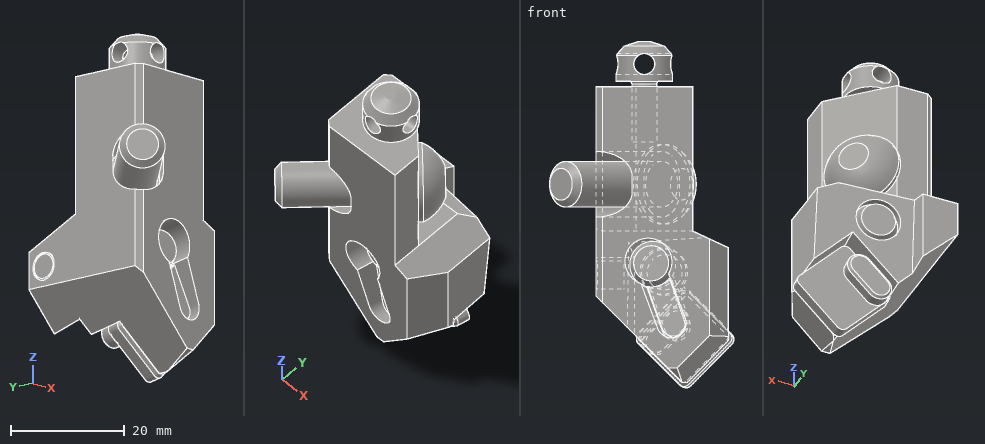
import cadquery as cq
import math


shank_half_x = 8.5
shank_half_y = 7.95
edge_bevel_x = 1.15
edge_bevel_y = 1.0
foot_right = 14.8
foot_back = 17.95
arm_back_x = -1.75
arm_root = (-2.75, 12.35)
front_bevel_x = 11.45
front_bevel_y = -1.05
ledge_z = -25.35
ledge_angle = 25.0
foot_bottom = -54.75
reach = 36.5

lower_left_z = -36.75
nose_top_z = -49.4
nose_bottom_z = -51.95
nose_corner_y = -1.1
nose_right_x = 5.8
flank_relief = 0.5

seat_slope_x = -0.15
seat_slope_z = 0.1
seat_normal = cq.Vector(-seat_slope_x, 1, -seat_slope_z)

insert_centre = (7.35, 4.7, -44.45)
insert_side = 12.7
insert_thickness = 3.15
insert_corner_radius = 1.2
insert_bevel = 0.6

bar_width = 4.6
bar_length = 9.75
bar_thickness = 2.85
bar_chamfer = 0.5
bar_overhang = 0.05

screw_x = 0.7
screw_z = -30.7
screw_radius = 4.1
screw_tip_radius = 3.1
screw_tip_length = 1.95
screw_recess = 3.15
screw_length = 16.05

slot_end_x = 4.75
slot_end_z = -41.55
slot_radius = 2.55
slot_depth = 7.3
lever_recess = 3.95
lever_radius = 2.05

bolt_z = -17.15
bolt_side_shift = 0.3
bolt_radius = 4.0
bolt_tip = 20.4
bolt_tip_radius = 2.8
bolt_tip_length = 1.15
bolt_seat = 4.6
bolt_slot_width = 8.9
bolt_slot_length = 11.5
bolt_head_radius = 7.0
bolt_rim_height = 0.9
bolt_dome_radius = 7.65
bolt_head_height = 4.9

head_radius = 5.0
head_bottom = 0.9
head_shoulder = 5.5
head_cone_top = 7.1
head_cone_radius = 3.5
head_top = 7.9
head_top_radius = 1.05
bar_hole_radius = 1.8
bar_hole_z = 3.95
neck_radius = 2.45
neck_step_z = 0.5
adjuster_radius = 2.2
adjuster_depth = 9.75

dowel_y = 14.5
dowel_z = -33.1
dowel_radius = 2.5
dowel_length = 5.0
dowel_chamfer = 0.3


def plane_through(origin, x_dir, normal):
    return cq.Workplane(cq.Plane(origin=origin, xDir=x_dir, normal=normal))


def seat_plane(origin, depth=0.0):
    """Workplane parallel to the insert seat, moved by depth along its normal (towards +Y).

    Its local X runs down to the right along the lower left edge of the insert,
    and its local Y points down to the left.
    """
    start = cq.Vector(*origin) + seat_normal.normalized() * depth
    down_right = cq.Vector(1, seat_slope_x - seat_slope_z, -1)
    return plane_through(start, down_right, seat_normal)



screw_mouth = (screw_x, -shank_half_y, screw_z)
slot_end = (slot_end_x, -shank_half_y, slot_end_z)


def slot_block(radius, start_depth, end_depth):
    """Round-ended block from the clamp screw's axis to the slot's end, between two depths."""
    span = cq.Vector(*slot_end) - cq.Vector(*screw_mouth)
    along = span - seat_normal * (span.dot(seat_normal) / seat_normal.dot(seat_normal))
    start = cq.Vector(*screw_mouth) + seat_normal.normalized() * start_depth
    plane = plane_through(start, along, seat_normal)
    length = along.Length
    return (
        plane.center(length / 2, 0)
        .slot2D(length + 2 * radius, 2 * radius)
        .extrude(end_depth - start_depth)
    )


def bolt_origin():
    shift = bolt_side_shift / math.sqrt(2)
    return (-shift, shift, bolt_z)



def foot_profile():
    return (
        cq.Workplane("XY", origin=(0, 0, foot_bottom))
        .polyline([
            (-shank_half_x, foot_back),
            (arm_back_x, foot_back),
            arm_root,
            (foot_right, arm_root[1]),
            (foot_right, front_bevel_y),
            (front_bevel_x, -shank_half_y),
            (edge_bevel_x - shank_half_x, -shank_half_y),
            (-shank_half_x, edge_bevel_y - shank_half_y),
        ])
        .close()
        .extrude(-foot_bottom)
    )


def above_ledge(plane_name, start):
    """Space outside the shank and above a ledge that falls away from the given distance."""
    fall = reach * math.tan(math.radians(ledge_angle))
    return (
        cq.Workplane(plane_name)
        .polyline([(start, 0), (start, ledge_z), (start + reach, ledge_z - fall), (start + reach, 0)])
        .close()
        .extrude(reach, both=True)
    )


def cut_ledges(body):
    return body.cut(above_ledge("XZ", shank_half_x)).cut(above_ledge("YZ", shank_half_y))


def cut_back_bevel(body):
    """Bevel on the shank's back left edge, ending on the extended ledge."""
    inner_y = shank_half_y - edge_bevel_y
    ledge_rise = edge_bevel_y * math.tan(math.radians(ledge_angle))
    prism = (
        cq.Workplane("XY")
        .polyline([
            (-shank_half_x, inner_y),
            (edge_bevel_x - shank_half_x, shank_half_y),
            (-shank_half_x, shank_half_y),
        ])
        .close()
        .extrude(foot_bottom)
    )
    return body.cut(prism.intersect(above_ledge("YZ", inner_y).translate((0, 0, ledge_rise))))


def cut_back_face(body):
    """Sloping back face of the foot, parallel to the insert seat."""
    ledge_at_root = ledge_z - (arm_root[1] - shank_half_y) * math.tan(math.radians(ledge_angle))
    root = cq.Vector(*arm_root, ledge_at_root)
    back_plane = plane_through(root, (0, seat_slope_z, 1), seat_normal)
    behind = back_plane.rect(4 * reach, 4 * reach).extrude(reach)
    wall_slope = (arm_back_x - arm_root[0]) / (foot_back - arm_root[1])
    right_of_arm = (
        cq.Workplane("XY", origin=(0, 0, foot_bottom))
        .polyline([
            (arm_root[0] - wall_slope * arm_root[1], 0),
            (arm_root[0] + wall_slope * (reach - arm_root[1]), reach),
            (reach, reach),
            (reach, 0),
        ])
        .close()
        .extrude(-foot_bottom)
    )
    return body.cut(behind.intersect(right_of_arm))


def cut_lower_end(body):
    """Lower left slope, nose bevel and relieved flank below the insert."""
    lower_left = (
        cq.Workplane("XZ")
        .polyline([
            (-shank_half_x, lower_left_z),
            (reach - shank_half_x, lower_left_z - reach),
            (-shank_half_x, lower_left_z - reach),
        ])
        .close()
        .extrude(reach, both=True)
    )
    nose = (
        cq.Workplane("YZ")
        .polyline([
            (-shank_half_y, nose_top_z),
            (nose_corner_y, nose_bottom_z),
            (reach, nose_bottom_z),
            (reach, foot_bottom),
            (-shank_half_y, foot_bottom),
        ])
        .close()
        .extrude(reach, both=True)
    )
    flank_start = (nose_right_x, -shank_half_y, nose_top_z)
    flank_plane = plane_through(flank_start, (1, 0, 1), (1, -flank_relief, -1))
    flank = flank_plane.rect(4 * reach, 4 * reach).extrude(reach)
    return body.cut(lower_left).cut(nose).cut(flank)


def cut_insert_pocket(body):
    """Square-cornered pocket, open to the back, the right and the lower left."""
    half = insert_side / 2
    pocket = (
        seat_plane(insert_centre, -insert_thickness)
        .rect(reach, reach)
        .extrude(reach)
    )
    plane = seat_plane(insert_centre).plane
    shift = (plane.xDir + plane.yDir) * (reach / 2 - half)
    return body.cut(pocket.translate(shift))


def cut_bolt_seat(body):
    """Flat across the shank's back right corner and the long slot around the bolt."""
    edge = bolt_seat * math.sqrt(2)
    corner = (
        cq.Workplane("XY")
        .polyline([
            (edge - shank_half_y, shank_half_y),
            (shank_half_x, shank_half_y),
            (shank_half_x, edge - shank_half_x),
        ])
        .close()
        .extrude(ledge_z)
    )
    slot = (
        plane_through(bolt_origin(), (0, 0, 1), (1, 1, 0))
        .slot2D(bolt_slot_length, bolt_slot_width)
        .extrude(reach, both=True)
    )
    return body.cut(corner).cut(slot)


def screw_hole():
    return seat_plane(screw_mouth, -reach / 2).circle(screw_radius).extrude(2 * reach)


def dowel_hole():
    return (
        cq.Workplane("YZ", origin=(-shank_half_x, dowel_y, dowel_z))
        .circle(dowel_radius)
        .extrude(dowel_length)
    )


def adjuster_hole():
    return cq.Workplane("XY").circle(adjuster_radius).extrude(-adjuster_depth)


def make_housing():
    body = cut_ledges(foot_profile())
    body = cut_back_bevel(body)
    body = cut_back_face(body)
    body = cut_lower_end(body)
    body = cut_insert_pocket(body)
    body = cut_bolt_seat(body)
    body = body.cut(screw_hole())
    body = body.cut(slot_block(slot_radius, -slot_radius, slot_depth))
    return body.cut(dowel_hole()).cut(adjuster_hole())



def make_adjuster():
    """Round-headed adjusting screw with two crossed bar holes."""
    body = (
        cq.Workplane("XZ")
        .polyline([
            (0, -adjuster_depth),
            (adjuster_radius, -adjuster_depth),
            (adjuster_radius, neck_step_z),
            (neck_radius, head_bottom),
            (head_radius, head_bottom),
            (head_radius, head_shoulder),
            (head_cone_radius, head_cone_top),
            (head_top_radius, head_top),
            (0, head_top),
        ])
        .close()
        .revolve(360, (0, 0), (0, 1))
    )
    for side in ("XZ", "YZ"):
        body = body.cut(
            cq.Workplane(side).center(0, bar_hole_z).circle(bar_hole_radius).extrude(head_radius, both=True)
        )
    return body


def make_bolt():
    """Diagonal bolt: a bevelled shaft and a flat-topped domed head resting on the corner flat."""
    rim = bolt_seat + bolt_rim_height
    top = bolt_seat + bolt_head_height
    dome_centre = rim - math.sqrt(bolt_dome_radius**2 - bolt_head_radius**2)
    top_radius = math.sqrt(bolt_dome_radius**2 - (top - dome_centre)**2)
    diagonal = math.sqrt(0.5) * bolt_dome_radius
    return (
        plane_through(bolt_origin(), (-1, 1, 0), (0, 0, -1))
        .moveTo(0, -bolt_tip)
        .lineTo(bolt_tip_radius, -bolt_tip)
        .lineTo(bolt_radius, bolt_tip_length - bolt_tip)
        .lineTo(bolt_radius, bolt_seat)
        .lineTo(bolt_head_radius, bolt_seat)
        .lineTo(bolt_head_radius, rim)
        .threePointArc((diagonal, dome_centre + diagonal), (top_radius, top))
        .lineTo(0, top)
        .close()
        .revolve(360, (0, 0), (0, 1))
    )


def make_clamp_screw():
    """Clamp screw through the foot, coned at both ends."""
    cone = screw_radius - screw_tip_radius
    blank = seat_plane(screw_mouth, screw_recess).circle(screw_radius).extrude(screw_length)
    return blank.faces("<Y or >Y").chamfer(screw_tip_length, cone)


def make_lever():
    """Lever lying in the slot and ending against the clamp screw."""
    return slot_block(lever_radius, lever_recess, slot_depth).cut(screw_hole())


def make_insert():
    """Square insert with rounded corners and a bevel around its seat side."""
    return (
        seat_plane(insert_centre, -insert_thickness)
        .rect(insert_side, insert_side)
        .extrude(insert_thickness)
        .edges(cq.selectors.ParallelDirSelector(seat_normal))
        .fillet(insert_corner_radius)
        .faces(cq.selectors.DirectionMinMaxSelector(seat_normal, False))
        .chamfer(insert_bevel)
    )


def make_clamp_bar():
    """Round-ended bar lying on the insert, along the pocket's upper left wall."""
    half = insert_side / 2
    return (
        seat_plane(insert_centre)
        .center((bar_width - insert_side) / 2, half + bar_overhang - bar_length / 2)
        .slot2D(bar_length, bar_width, 90)
        .extrude(bar_thickness)
        .faces(cq.selectors.DirectionMinMaxSelector(seat_normal))
        .chamfer(bar_chamfer)
    )


def make_dowel():
    return dowel_hole().faces("<X").chamfer(dowel_chamfer)


result = cq.Compound.makeCompound([
    make_housing().val(),
    make_adjuster().val(),
    make_bolt().val(),
    make_clamp_screw().val(),
    make_lever().val(),
    make_insert().val(),
    make_clamp_bar().val(),
    make_dowel().val(),
])